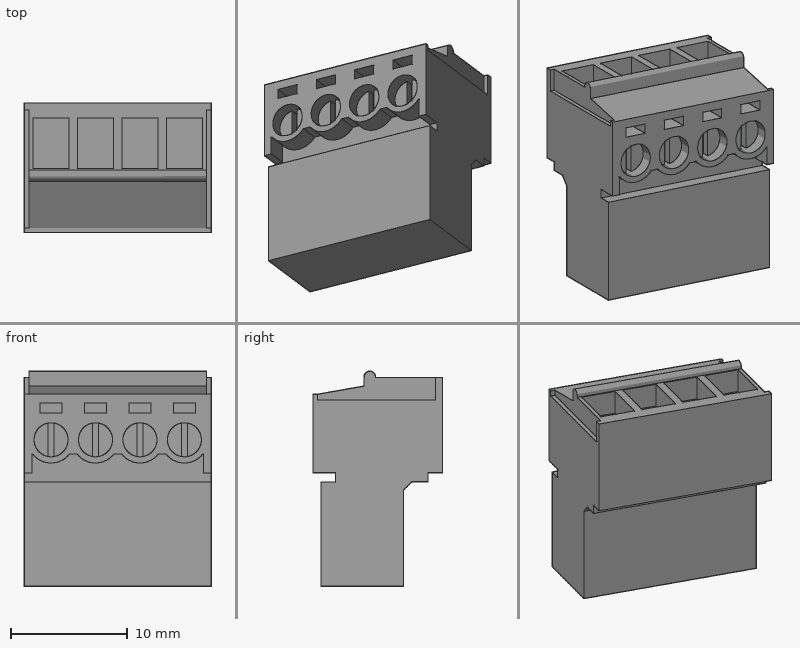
import cadquery as cq
import math

width = 16.03
depth = 11.1
height = 18.45

pole_count = 4
pole_pitch = 3.81
pole_xs = [(i - (pole_count - 1) / 2) * pole_pitch for i in range(pole_count)]

ridge_radius = 0.5
ridge_axis_z = height - ridge_radius
top_z = 17.91
ridge_front_y = 4.37
ridge_back_y = ridge_front_y + 2 * ridge_radius
lip_z = 16.48
lip_thickness = 0.39
slope_angle = 10.0
slope_top_z = lip_z + (ridge_front_y - lip_thickness) * math.tan(math.radians(slope_angle))
head_bottom_z = 9.72
notch_back_y = 1.92
ledge_z = 8.95
plug_front_y = 0.68
plug_back_y = 7.77
step_back_y = 9.87
chamfer_size = 0.7

relief_depth = 0.39
relief_bottom_z = 16.0
relief_back_y = 10.52

pocket_width = 3.1
pocket_front_y = 5.5
pocket_back_y = 9.8
clamp_top_z = 15.87
clamp_bottom_z = 10.57

slot_width = 1.88
slot_bottom_z = 14.85
slot_top_z = 15.7

screw_z = 12.56
screw_radius = 1.45
screw_recess = 1.2
driver_slot_width = 0.5
driver_slot_depth = 0.74

scallop_radius = 2.0
recess_top_z = 11.35
post_width = 0.68


def box(x_center, x_size, y_min, y_max, z_min, z_max):
    """Block centred on x_center along X, between the given Y and Z limits."""
    corner = cq.Vector(x_center - x_size / 2, y_min, z_min)
    return cq.Workplane(cq.Solid.makeBox(x_size, y_max - y_min, z_max - z_min, corner))


def cylinder(x_center, radius, y_min, y_max):
    """Cylinder along Y at screw height."""
    axis_start = cq.Vector(x_center, y_min, screw_z)
    return cq.Workplane(cq.Solid.makeCylinder(radius, y_max - y_min, axis_start, cq.Vector(0, 1, 0)))


def make_profile():
    """Side outline of the housing, extruded over the full width."""
    return (
        cq.Workplane("YZ")
        .moveTo(plug_front_y, 0)
        .lineTo(plug_front_y, ledge_z)
        .lineTo(notch_back_y, ledge_z)
        .lineTo(notch_back_y, head_bottom_z)
        .lineTo(0, head_bottom_z)
        .lineTo(0, lip_z)
        .lineTo(lip_thickness, lip_z)
        .lineTo(ridge_front_y, slope_top_z)
        .lineTo(ridge_front_y, ridge_axis_z)
        .threePointArc((ridge_front_y + ridge_radius, height), (ridge_back_y, ridge_axis_z))
        .lineTo(ridge_back_y, top_z)
        .lineTo(depth, top_z)
        .lineTo(depth, head_bottom_z)
        .lineTo(step_back_y, head_bottom_z)
        .lineTo(step_back_y, ledge_z)
        .lineTo(plug_back_y + chamfer_size, ledge_z)
        .lineTo(plug_back_y, ledge_z - chamfer_size)
        .lineTo(plug_back_y, 0)
        .close()
        .extrude(width / 2, both=True)
    )


def cut_side_reliefs(housing):
    relief_x = (width - relief_depth) / 2
    for x in (-relief_x, relief_x):
        housing = housing.cut(box(x, relief_depth, lip_thickness, relief_back_y, relief_bottom_z, height))
    return housing


def make_scalloped_recess():
    recess = box(0, width - 2 * post_width, 0, notch_back_y, ledge_z, recess_top_z)
    for x in pole_xs:
        recess = recess.cut(cylinder(x, scallop_radius, 0, notch_back_y))
    return recess


def make_housing():
    housing = cut_side_reliefs(make_profile()).cut(make_scalloped_recess())
    for x in pole_xs:
        pocket = box(x, pocket_width, pocket_front_y, pocket_back_y, clamp_bottom_z, height)
        test_slot = box(x, slot_width, 0, pocket_front_y, slot_bottom_z, slot_top_z)
        screw_hole = cylinder(x, screw_radius, 0, pocket_front_y)
        housing = housing.cut(pocket).cut(test_slot).cut(screw_hole)
    return housing


def make_clamp(x):
    return box(x, pocket_width, pocket_front_y, pocket_back_y, clamp_bottom_z, clamp_top_z)


def make_screw(x):
    """Screw sunk below the front face and reaching the clamp, with a driver slot across it."""
    screw = cylinder(x, screw_radius, screw_recess, pocket_front_y)
    driver_slot_bottom_y = screw_recess + driver_slot_depth
    driver_slot = box(
        x,
        driver_slot_width,
        screw_recess,
        driver_slot_bottom_y,
        screw_z - screw_radius,
        screw_z + screw_radius,
    )
    return screw.cut(driver_slot)


housing = make_housing()
clamps = [make_clamp(x) for x in pole_xs]
screws = [make_screw(x) for x in pole_xs]

result = cq.Compound.makeCompound(
    [housing.val(), *[clamp.val() for clamp in clamps], *[screw.val() for screw in screws]]
)